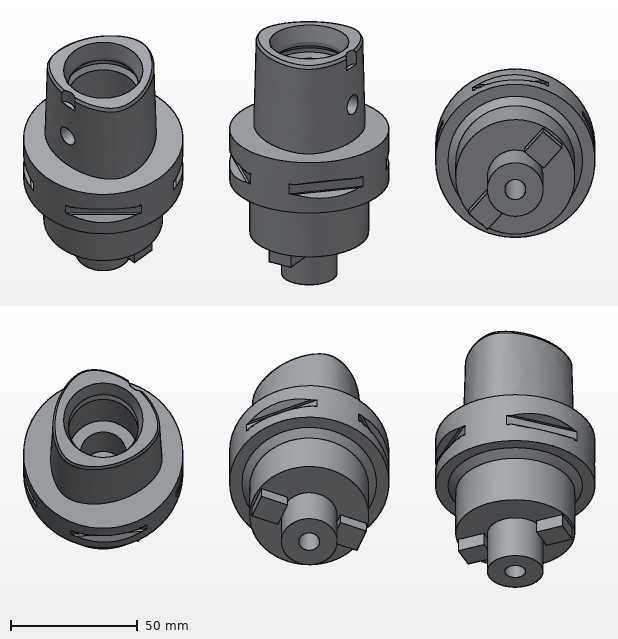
import cadquery as cq
import math

total_height = 101
flange_top = 63.1
flange_bottom = 41.1
body_top = 38.1
body_bottom = 18.2

flange_radius = 31.5
body_radius = 23.5
neck_radius = body_radius + flange_bottom - body_top
spigot_radius = 11.0

shank_mean_radius = 22.0
shank_lobe = 1.4
shank_taper = 1 / 40
outline_points = 72
shank_chamfer_height = 1.3
shank_chamfer_width = 0.8

mouth_radius = 15.7
bore_radius = 13.8
mouth_depth = 6.6
groove_start_depth = 8.2
groove_end_depth = 13.6
groove_depth = 1.8
bore_floor = flange_top
screw_head_radius = 9.1
screw_head_floor = flange_bottom
screw_radius = 4.1

notch_radius = 4.8
notch_tip = 17.9
notch_bottom = 94.8
side_hole_radius = 4.0
side_hole_height = 78.6
side_hole_end = 14.6

slot_count = 4
slot_height = 51.1
slot_floor_distance = 27.7
slot_floor_width = 4.2
slot_ledge = 1.0
slot_flare_angle = 30

key_inner = 11.3
key_outer = 22.3
key_width = 10.0
key_height = 5.5


def shank_outline(height, mean_radius):
    """Closed three-lobed wire with one lobe toward +Y."""
    def point(turn):
        angle = 2 * math.pi * turn
        x = (
            mean_radius * math.sin(angle)
            + 2 * shank_lobe * math.sin(2 * angle)
            + shank_lobe * math.sin(4 * angle)
        )
        y = (
            -mean_radius * math.cos(angle)
            + 2 * shank_lobe * math.cos(2 * angle)
            - shank_lobe * math.cos(4 * angle)
        )
        return cq.Vector(x, y, height)

    points = [point(index / outline_points) for index in range(outline_points)]
    return cq.Wire.assembleEdges([cq.Edge.makeSpline(points, periodic=True)])


def make_shank():
    chamfer_start = total_height - shank_chamfer_height
    chamfer_radius = shank_mean_radius - shank_taper * (chamfer_start - flange_top)
    base = shank_outline(flange_top, shank_mean_radius)
    shoulder = shank_outline(chamfer_start, chamfer_radius)
    tip = shank_outline(total_height, chamfer_radius - shank_chamfer_width)
    taper = cq.Solid.makeLoft([base, shoulder], True)
    chamfer = cq.Solid.makeLoft([shoulder, tip], True)
    return cq.Workplane(obj=taper).union(cq.Workplane(obj=chamfer))


def make_turned_body():
    profile = [
        (0, 0),
        (spigot_radius, 0),
        (spigot_radius, body_bottom),
        (body_radius, body_bottom),
        (body_radius, body_top),
        (neck_radius, flange_bottom),
        (flange_radius, flange_bottom),
        (flange_radius, flange_top),
        (0, flange_top),
    ]
    return cq.Workplane("XZ").polyline(profile).close().revolve(360, (0, 0), (0, 1))


def make_bores():
    groove_radius = bore_radius + groove_depth
    profile = [
        (0, 0),
        (screw_radius, 0),
        (screw_radius, screw_head_floor),
        (screw_head_radius, screw_head_floor),
        (screw_head_radius, bore_floor),
        (bore_radius, bore_floor),
        (bore_radius, total_height - groove_end_depth),
        (groove_radius, total_height - groove_end_depth + groove_depth),
        (groove_radius, total_height - groove_start_depth - groove_depth),
        (bore_radius, total_height - groove_start_depth),
        (bore_radius, total_height - mouth_depth),
        (mouth_radius, total_height),
        (0, total_height),
    ]
    return cq.Workplane("XZ").polyline(profile).close().revolve(360, (0, 0), (0, 1))


def make_notch():
    return (
        cq.Workplane("XY", origin=(0, -notch_tip - notch_radius, notch_bottom))
        .circle(notch_radius)
        .extrude(total_height - notch_bottom)
    )


def make_side_hole():
    return (
        cq.Workplane("XZ", origin=(0, -side_hole_end, side_hole_height))
        .circle(side_hole_radius)
        .extrude(flange_radius - side_hole_end)
    )


def make_slot():
    """Gripper slot on the +X side."""
    ledge_distance = slot_floor_distance + slot_ledge
    half_floor = slot_floor_width / 2
    flare = (flange_radius - ledge_distance) * math.tan(math.radians(slot_flare_angle))
    half_mouth = half_floor + flare
    profile = [
        (slot_floor_distance, -half_floor),
        (ledge_distance, -half_floor),
        (flange_radius, -half_mouth),
        (flange_radius, half_mouth),
        (ledge_distance, half_floor),
        (slot_floor_distance, half_floor),
    ]
    return (
        cq.Workplane("XZ", origin=(0, 0, slot_height))
        .polyline(profile)
        .close()
        .extrude(flange_radius, both=True)
    )


def make_key(side):
    length = key_outer - key_inner
    return (
        cq.Workplane("XY", origin=(side * (key_inner + length / 2), 0, body_bottom))
        .rect(length, key_width)
        .extrude(-key_height)
    )


result = make_turned_body().union(make_shank())
for side in (-1, 1):
    result = result.union(make_key(side))

result = result.cut(make_bores()).cut(make_notch()).cut(make_side_hole())
for index in range(slot_count):
    slot_angle = 360 / slot_count * (index + 0.5)
    result = result.cut(make_slot().rotate((0, 0, 0), (0, 0, 1), slot_angle))